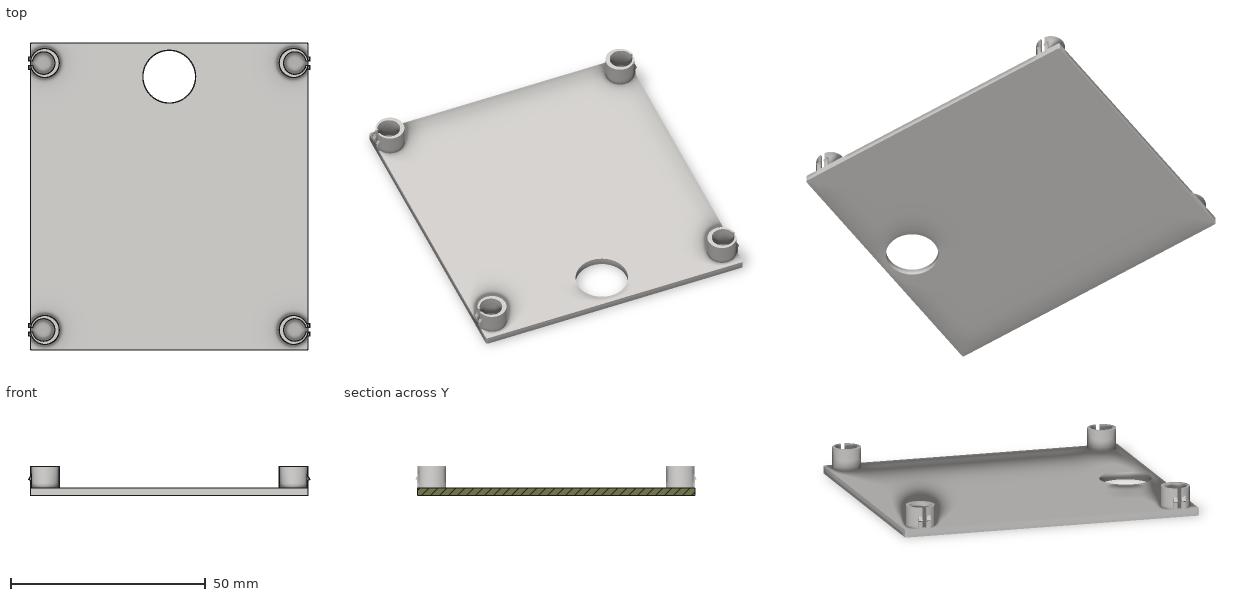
import cadquery as cq
import math

plate_width = 71.4
plate_length = 79.0
plate_thickness = 2.0
corner_radius = 0.43

opening_diameter = 13.5
opening_end_distance = 8.7

overall_height = 7.5
post_height = overall_height - plate_thickness
post_radius = 3.72
bore_radius = 2.9
bore_shift = 0.3
post_end_distance = 5.2
post_x = plate_width / 2 - post_radius
post_y = plate_length / 2 - post_end_distance

slot_width = 1.15
hook_reach = 0.44
hook_outer_offset = 1.6
hook_tip_z = 4.2
hook_lip_drop = 0.3
hook_ramp_angle = 60


def make_plate():
    plate = (
        cq.Workplane("XY")
        .box(plate_width, plate_length, plate_thickness, centered=(True, True, False))
        .edges("|Z")
        .fillet(corner_radius)
    )
    opening = (
        cq.Workplane("XY")
        .center(0, plate_length / 2 - opening_end_distance)
        .circle(opening_diameter / 2)
        .extrude(plate_thickness)
    )
    return plate.cut(opening)


def make_hook_strip():
    """Flat strip on the +X side of a post, flush with the plate side, with a ramped hook."""
    tip_x = post_radius + hook_reach
    ramp_run = tip_x - bore_radius
    ramp_top_z = hook_tip_z + ramp_run * math.tan(math.radians(hook_ramp_angle))
    return (
        cq.Workplane("XZ")
        .moveTo(bore_radius, plate_thickness)
        .lineTo(post_radius, plate_thickness)
        .lineTo(post_radius, hook_tip_z - hook_lip_drop)
        .lineTo(tip_x, hook_tip_z)
        .lineTo(bore_radius, ramp_top_z)
        .close()
        .extrude(hook_outer_offset, both=True)
    )


def make_post():
    """Post on the Z axis with its slot and hooks facing +X."""
    base = cq.Workplane("XY").workplane(offset=plate_thickness)
    post = base.circle(post_radius).extrude(post_height).union(make_hook_strip())
    bore = base.center(bore_shift, 0).circle(bore_radius).extrude(post_height)
    slot_length = post_radius + hook_reach
    slot = base.center(slot_length / 2, 0).rect(slot_length, slot_width).extrude(post_height)
    return post.cut(bore).cut(slot)


result = make_plate()
right_post = make_post()
left_post = right_post.rotate((0, 0, 0), (0, 0, 1), 180)
for y in (-post_y, post_y):
    result = result.union(right_post.translate((post_x, y, 0)))
    result = result.union(left_post.translate((-post_x, y, 0)))